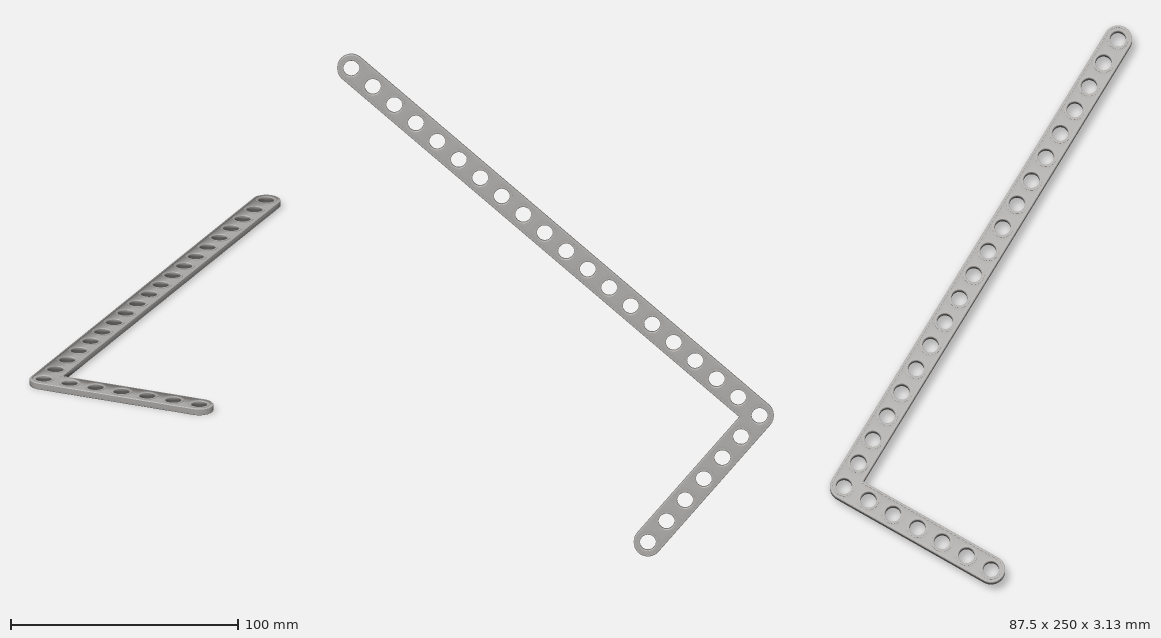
import cadquery as cq

pitch = 12.5
thickness = pitch / 4
long_arm_holes = 20
short_arm_holes = 7
hole_diameter = 7.0
ring_diameter = 9.2
rim_width = 1.05
recess_depth = 0.2
edge_chamfer = 0.3

long_row = [(0, i * pitch) for i in range(long_arm_holes)]
short_row = [(i * pitch, 0) for i in range(1, short_arm_holes)]
hole_centres = long_row + short_row


def l_shape(width, height):
    """Two round-ended bars of the given width that share the corner hole centre at the origin."""
    short_span = (short_arm_holes - 1) * pitch
    long_span = (long_arm_holes - 1) * pitch
    short_arm = cq.Workplane("XY").center(short_span / 2, 0).slot2D(short_span + width, width).extrude(height)
    long_arm = cq.Workplane("XY").center(0, long_span / 2).slot2D(long_span + width, width, 90).extrude(height)
    return short_arm.union(long_arm).clean()


def cylinders(diameter, height):
    """One cylinder standing on every hole centre."""
    return cq.Workplane("XY").pushPoints(hole_centres).circle(diameter / 2).extrude(height)


def recess():
    """Shallow floor region inside the rim, leaving a ring around each hole."""
    floor = l_shape(pitch - 2 * rim_width, recess_depth)
    return floor.cut(cylinders(ring_diameter, recess_depth))


beam = l_shape(pitch, thickness).cut(cylinders(hole_diameter, thickness))
beam = beam.faces("<Z or >Z").edges().chamfer(edge_chamfer)

bottom_recess = recess()
top_recess = bottom_recess.translate((0, 0, thickness - recess_depth))

result = beam.cut(bottom_recess).cut(top_recess)